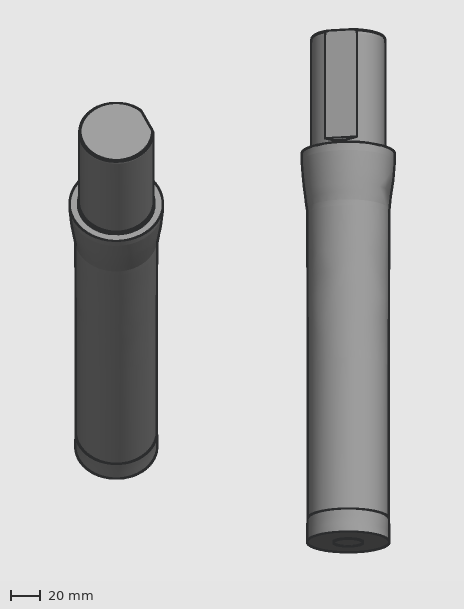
import cadquery as cq

overall_height = 349.0

tube_diameter = 54.2
base_ring_top_diameter = 54.75
sleeve_diameter = 55.19
collar_diameter = 62.5
lip_base_diameter = 51.4
lip_edge_diameter = 50.3
foot_diameter = 20.0

foot_height = 0.5
base_edge_height = 1.0
base_ring_top = 16.5
sleeve_bottom = 121.0
band_bottom = 226.0
band_top = 230.0
collar_bottom = 263.2
collar_top = 269.0
collar_bulge = 0.4
lip_edge_height = 1.0
lip_height = 2.0

rod_diameter = 49.99
rod_tip_diameter = 49.5
rod_tip_height = 1.6
rod_shoulder_height = 1.7
rod_chamfer_height = 0.9
rod_chamfer_width = 0.8
rod_bottom = base_ring_top
flat_distance = 22.4
flat_end = 274.6


def trace(profile, points):
    """Continue a half profile through (diameter, height) points."""
    for diameter, height in points:
        profile = profile.lineTo(diameter / 2, height)
    return profile


def revolve_about_axis(profile, top):
    """Close a half profile along the Z axis at the given height and revolve it."""
    return profile.lineTo(0, top).close().revolve(360, (0, 0, 0), (0, 1, 0))


def make_housing():
    """Revolved outer shell with a blind bore that holds the rod."""
    base_bottom = foot_height
    below_collar = [
        (foot_diameter, 0),
        (foot_diameter, base_bottom),
        (sleeve_diameter, base_bottom),
        (sleeve_diameter, base_bottom + base_edge_height),
        (base_ring_top_diameter, base_ring_top),
        (tube_diameter, base_ring_top),
        (tube_diameter, sleeve_bottom),
        (sleeve_diameter, band_bottom),
        (sleeve_diameter, band_top),
    ]
    collar_and_bore = [
        (collar_diameter, collar_top),
        (lip_base_diameter, collar_top),
        (lip_edge_diameter, collar_top + lip_edge_height),
        (rod_diameter, collar_top + lip_height),
        (rod_diameter, rod_bottom),
    ]
    flare_middle = (
        (sleeve_diameter + collar_diameter) / 4 + collar_bulge,
        (band_top + collar_bottom) / 2,
    )
    profile = trace(cq.Workplane("XZ").moveTo(0, 0), below_collar)
    profile = profile.threePointArc(flare_middle, (collar_diameter / 2, collar_bottom))
    profile = trace(profile, collar_and_bore)
    return revolve_about_axis(profile, rod_bottom)


def make_flat_cutter():
    """Block that mills the +Y flat, its lower end sloping out of the rod at 45 degrees."""
    outside = rod_diameter
    return (
        cq.Workplane("YZ")
        .moveTo(flat_distance, overall_height)
        .lineTo(flat_distance, flat_end)
        .lineTo(outside, flat_end - (outside - flat_distance))
        .lineTo(outside, overall_height)
        .close()
        .extrude(rod_diameter / 2, both=True)
    )


def make_rod():
    """Round rod with a narrower chamfered tip, a conical shoulder below it and one long flat."""
    tip_bottom = overall_height - rod_tip_height
    outline = [
        (rod_diameter, rod_bottom),
        (rod_diameter, tip_bottom - rod_shoulder_height),
        (rod_tip_diameter, tip_bottom),
        (rod_tip_diameter, overall_height - rod_chamfer_height),
        (rod_tip_diameter - 2 * rod_chamfer_width, overall_height),
    ]
    profile = trace(cq.Workplane("XZ").moveTo(0, rod_bottom), outline)
    return revolve_about_axis(profile, overall_height).cut(make_flat_cutter())


housing = make_housing()
rod = make_rod()

result = cq.Compound.makeCompound([housing.val(), rod.val()])